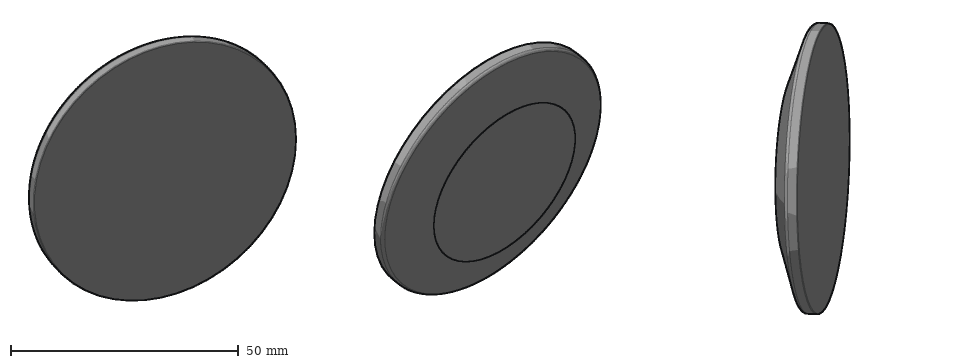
import cadquery as cq

outer_radius = 32.0
thickness = 7.0
face_radius = 20.6
cone_depth = 4.2
cone_corner_round = 0.8
back_edge_round = 0.2

half_thickness = thickness / 2
rim_height = thickness - cone_depth

rim = (
    cq.Workplane("YZ")
    .workplane(offset=half_thickness - rim_height)
    .circle(outer_radius)
    .extrude(rim_height)
)

cone = (
    cq.Workplane("YZ")
    .workplane(offset=-half_thickness)
    .circle(face_radius)
    .workplane(offset=cone_depth)
    .circle(outer_radius)
    .loft(ruled=True)
)

disc = rim.union(cone)

cone_corner = disc.edges("%CIRCLE").edges(cq.selectors.CenterNthSelector(cq.Vector(1, 0, 0), 1))
rounded_disc = cone_corner.fillet(cone_corner_round)
result = rounded_disc.faces(">X").edges().fillet(back_edge_round)